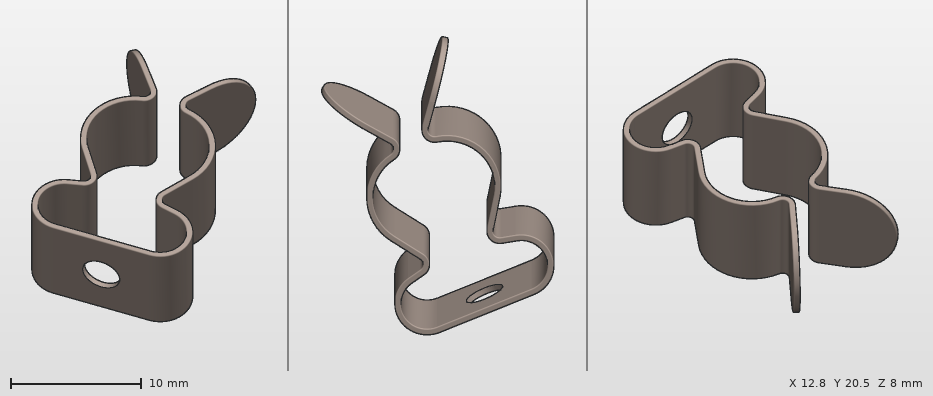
import cadquery as cq
import math


thickness = 0.5
width = 8.0
edge_radius = 0.1
hole_diameter = 3.0
contact_tolerance = 0.002

base_bend_radius = 2.25
base_bend_centre = (3.9, base_bend_radius + thickness / 2)

pinch_bend_radius = 0.75
waist_bend_centre = (3.45, 5.69)

jaw_radius = 3.89
jaw_centre = (1.1, 10.5)

mouth_direction = math.radians(79)

tab_direction = math.radians(52.5)
tab_length = 6.1
tip_radius = width / 2


def polar(centre, radius, angle):
    """Point on a circle at the given angle."""
    return (centre[0] + radius * math.cos(angle), centre[1] + radius * math.sin(angle))


def cross_tangent_angle(centre_a, radius_a, centre_b, radius_b, turn):
    """Angle on circle A where the line crossing over to circle B leaves it.

    Circle B is met at the opposite angle. turn is +1 or -1, the turning direction on A.
    """
    across = centre_b[0] - centre_a[0]
    along = centre_b[1] - centre_a[1]
    spread = math.acos((radius_a + radius_b) / math.hypot(across, along))
    return math.atan2(along, across) - turn * spread


mouth_bend_centre = polar(jaw_centre, jaw_radius + pinch_bend_radius, mouth_direction)

base_start = -math.pi / 2
base_end = cross_tangent_angle(
    base_bend_centre, base_bend_radius, waist_bend_centre, pinch_bend_radius, 1
)
waist_start = base_end + math.pi
waist_end = math.pi + cross_tangent_angle(
    jaw_centre, jaw_radius, waist_bend_centre, pinch_bend_radius, -1
)
jaw_start = waist_end - math.pi
jaw_end = mouth_direction
mouth_start = mouth_direction + math.pi
mouth_end = tab_direction + math.pi / 2

bends = [
    (base_bend_centre, base_bend_radius, base_start, base_end, 1),
    (waist_bend_centre, pinch_bend_radius, waist_start, waist_end, -1),
    (jaw_centre, jaw_radius, jaw_start, jaw_end, 1),
    (mouth_bend_centre, pinch_bend_radius, mouth_start, mouth_end, -1),
]


def strip_arcs(offset):
    """Start, middle and end points of the bends on a face offset from the strip middle."""
    arcs = []
    for centre, radius, start, end, bulge in bends:
        face_radius = radius + bulge * offset
        angles = (start, (start + end) / 2, end)
        arcs.append([polar(centre, face_radius, angle) for angle in angles])
    return arcs


def bent_half():
    """Right half of the clip, from the middle of the base to the end of the mouth bend."""
    outer_arcs = strip_arcs(thickness / 2)
    inner_arcs = strip_arcs(-thickness / 2)
    outline = cq.Workplane("XY").workplane(offset=-width / 2).moveTo(0, 0)
    position = (0, 0)
    returning_arcs = [arc[::-1] for arc in inner_arcs[::-1]]
    for start, middle, end in outer_arcs + returning_arcs:
        if math.dist(position, start) > contact_tolerance:
            outline = outline.lineTo(*start)
        outline = outline.threePointArc(middle, end)
        position = end
    return outline.lineTo(0, thickness).close().extrude(width)


def tab():
    """Flat tab with a half-round tip, leaving the mouth bend tangentially."""
    start = polar(mouth_bend_centre, pinch_bend_radius, mouth_end)
    plane = cq.Plane(
        origin=(start[0], start[1], 0),
        xDir=(math.cos(tab_direction), math.sin(tab_direction), 0),
        normal=(math.sin(tab_direction), -math.cos(tab_direction), 0),
    )
    straight_length = tab_length - tip_radius
    return (
        cq.Workplane(plane)
        .moveTo(0, -tip_radius)
        .lineTo(straight_length, -tip_radius)
        .threePointArc((tab_length, 0), (straight_length, tip_radius))
        .lineTo(0, tip_radius)
        .close()
        .extrude(thickness / 2, both=True)
    )


half = bent_half().union(tab())
clip = half.union(half.mirror("YZ")).clean()

clip = clip.edges("|X").fillet(edge_radius)

hole = cq.Workplane("XZ").circle(hole_diameter / 2).extrude(-2 * thickness)

result = clip.cut(hole)